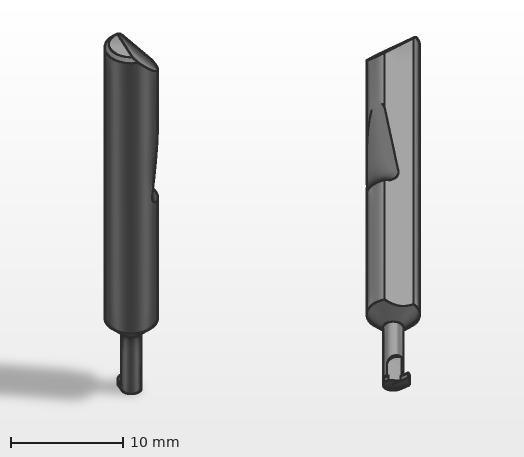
import cadquery as cq
import math

length = 38.1
shank_radius = 2.38
top_chamfer = 0.4
shank_bottom = 7.85

neck_radius = 0.9
cone_bottom = shank_bottom - (shank_radius - neck_radius)
neck_bottom = 0.08

flat_distance = 1.962
flat_angle = 143.5

bevel_start_y = -0.6

notch_top = 30.1
notch_bottom = 21.1
notch_floor_y = 1.03
notch_radius = 1.15

relief_distance = 0.65
relief_angle = 135.0
relief_top = 2.7
relief_corner = 1.0

tip_reach = 1.7
tip_top = 0.57
tip_front_end_x = -1.03
tip_front_radius = 1.15
rake_y = 0.057
tip_back_y = 0.8

clearance = 7.62


def make_blank():
    """Revolved shank, cone and neck."""
    return (
        cq.Workplane("XZ")
        .moveTo(0, neck_bottom)
        .lineTo(neck_radius, neck_bottom)
        .lineTo(neck_radius, cone_bottom)
        .lineTo(shank_radius, shank_bottom)
        .lineTo(shank_radius, length - top_chamfer)
        .lineTo(shank_radius - top_chamfer, length)
        .lineTo(0, length)
        .close()
        .revolve(360, (0, 0, 0), (0, 1, 0))
    )


def flat_plane(distance, angle):
    """Vertical plane facing outward at a distance from the axis; local Y is Z."""
    direction = math.radians(angle)
    normal = (math.cos(direction), math.sin(direction), 0)
    origin = (distance * normal[0], distance * normal[1], 0)
    return cq.Plane(origin, (-normal[1], normal[0], 0), normal)


def make_long_flat():
    return (
        cq.Workplane(flat_plane(flat_distance, flat_angle))
        .rect(clearance, 2 * length)
        .extrude(clearance)
    )


def make_bevel():
    return (
        cq.Workplane("YZ")
        .moveTo(bevel_start_y, length)
        .lineTo(bevel_start_y + clearance, length)
        .lineTo(bevel_start_y + clearance, length - clearance)
        .close()
        .extrude(shank_radius, both=True)
    )


def make_notch():
    """Sloping notch with a rounded lower corner."""
    return (
        cq.Workplane("YZ")
        .moveTo(shank_radius, notch_top)
        .lineTo(notch_floor_y, notch_bottom)
        .lineTo(clearance, notch_bottom)
        .lineTo(clearance, notch_top)
        .close()
        .extrude(shank_radius, both=True)
        .edges("|X and <Y")
        .fillet(notch_radius)
    )


def make_relief():
    """Flat on the neck with a rounded corner on its +Y side."""
    half_width = math.sqrt(neck_radius**2 - relief_distance**2)
    return (
        cq.Workplane(flat_plane(relief_distance, relief_angle))
        .moveTo(-half_width, 0)
        .lineTo(half_width + neck_radius, 0)
        .lineTo(half_width + neck_radius, relief_top)
        .lineTo(relief_corner - half_width, relief_top)
        .radiusArc((-half_width, relief_top - relief_corner), -relief_corner)
        .close()
        .extrude(neck_radius)
    )


def make_tip():
    """Hook with a curved front corner and a sloping underside."""
    hook = (
        cq.Workplane("XY")
        .moveTo(0, rake_y)
        .lineTo(-tip_reach, rake_y)
        .radiusArc((tip_front_end_x, -neck_radius), -tip_front_radius)
        .lineTo(0, -neck_radius)
        .close()
        .extrude(tip_top)
    )
    underside = (
        cq.Workplane("XZ")
        .moveTo(-tip_reach, 0)
        .lineTo(0, neck_bottom)
        .lineTo(0, 0)
        .close()
        .extrude(neck_radius + rake_y, both=True)
    )
    return hook.cut(underside)


def make_tip_back():
    """Small flat behind the cutting tip."""
    return cq.Workplane("XY").box(
        clearance, clearance, tip_top, centered=(True, False, False)
    ).translate((0, tip_back_y, 0))


result = (
    make_blank()
    .cut(make_long_flat())
    .cut(make_bevel())
    .cut(make_notch())
    .cut(make_relief())
    .cut(make_tip_back())
    .union(make_tip())
)